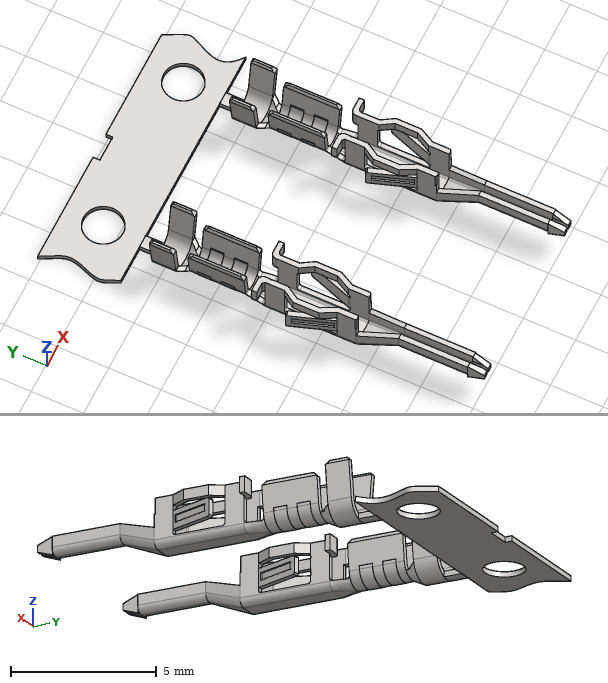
import cadquery as cq
import math


stock = 0.2
pitch = 6.35
terminal_count = 2

trim_half_width = 1.3

strip_half_width = 1.5
pilot_diameter = 1.5
strip_left = -2.1
strip_right = 8.19
left_tear = [(-1.66, 0.41), (-1.99, -0.74), (-1.72, -strip_half_width)]
left_tear_tangents = [(0.5, -1), (0.45, -1)]
right_tear = [(7.67, -0.74), (8.09, 0.41), (7.73, strip_half_width)]
right_tear_tangents = [(-1, 0.7), (-0.5, 1)]
notch_left = 2.3
notch_width = 1.02
notch_depth = 0.26

tab_half_width = 0.245
tab_radius = 1.0
tab_blank_top = 1.2

insulation_start = 2.22
insulation_end = 3.14
insulation_radius = 0.77
insulation_flare = 8.0
insulation_top = 2.1
insulation_bevel_height = 0.12
insulation_rear_chamfer = 0.08
insulation_front_chamfer = 0.16

floor_z = 0.22
wire_start = 3.58
wire_end = 5.73
wire_radius = 0.6
wire_flare = 7.0
wire_top = 1.87
wire_bevel_height = 0.14
wire_corner_chamfer = 0.16
wing_tip_bevel = 0.065
serration_starts = (3.9, 4.81)
serration_length = 0.51
serration_depth = 0.035
serration_bulge = 0.01
serration_top = 0.865

neck_blank_top = 0.95
rear_neck_side_z = 0.57
rear_neck_low_z = 0.44
rear_neck_slope_length = 0.25
front_neck_z = 0.51
neck_fillet = 0.12
front_neck_flat = 0.02

box_start = 6.48
box_end = 9.97
box_half_width = 0.61
box_corner = 0.28
box_top = 2.04
box_front_bevel = 0.05
window_start = 7.22
window_end = 9.24
window_bottom = 0.557
window_top = 1.65
window_fillet = 0.1

flange_start = 6.2
flange_half_span = 1.09
flange_bottom = 1.45
flange_fillet = 0.2
flange_gusset = 0.08

bow_half_width = 0.905
bow_flat_start = 7.7
bow_flat_end = 8.68

tang_angle = 19.0
tang_length = 1.8
tang_bottom = 0.76
tang_top = 1.46
tang_groove_start = 0.1
tang_tip_chamfer = 0.06
tang_groove_end = 1.59
tang_groove_bottom = 1.0
tang_groove_top = 1.27
tang_groove_depth = 0.06

ramp_side_z = 0.97
pin_start = 11.45
pin_end = 14.09
tip_end = 14.7
pin_bottom = 0.785
pin_top = 1.463
pin_half_width = 0.33
pin_corner = 0.27
prong_half_span = 0.31
tip_half_span = 0.26
tip_height = 0.24
prong_gap = 0.1
prong_mouth_half = 0.12
prong_mouth_depth = 0.16


def section_plane(station):
    """Plane across the terminal: local x is X, local y is Z, extrusion runs toward the pin tip."""
    return cq.Workplane("XZ").workplane(offset=station)


def station_block(half_width, start, end, z_low, z_high):
    return (section_plane(start).center(0, (z_low + z_high) / 2)
            .rect(2 * half_width, z_high - z_low).extrude(end - start))


def side_prism(points, half_width):
    """Prism across the terminal from (station, z) points."""
    yz_points = [(-station, z) for station, z in points]
    return cq.Workplane("YZ").polyline(yz_points).close().extrude(half_width, both=True)


def plan_prism(points, z_low, z_high):
    """Vertical prism from (x, station) points."""
    xy_points = [(x, -station) for x, station in points]
    return cq.Workplane("XY").workplane(offset=z_low).polyline(xy_points).close().extrude(z_high - z_low)


def both_sides(body):
    return body.union(body.mirror("YZ"))


def barrel(start, end, radius, thickness, flare, bottom, top, bevel=0.0, bevel_height=0.0):
    """Open U with a round floor and straight wings flared outward, tangent to the floor arc."""
    angle = math.radians(flare)
    centre_z = bottom + radius
    wing_length = (top - centre_z + radius * math.sin(angle)) / math.cos(angle)

    def wing_point(depth, along):
        across = radius - depth
        return (across * math.cos(angle) + along * math.sin(angle),
                centre_z - across * math.sin(angle) + along * math.cos(angle))

    outline = [wing_point(0, 0), wing_point(0, wing_length - bevel_height)]
    if bevel > 0:
        outline += [wing_point(bevel, wing_length), wing_point(thickness - bevel, wing_length)]
    outline += [wing_point(thickness, wing_length - bevel_height), wing_point(thickness, 0)]
    mirrored = [(-x, z) for x, z in reversed(outline)]

    profile = section_plane(start).polyline(outline)
    profile = profile.threePointArc((0, bottom + thickness), mirrored[0])
    for point in mirrored[1:]:
        profile = profile.lineTo(*point)
    return profile.threePointArc((0, bottom), outline[0]).close().extrude(end - start)


def channel_outline(plane, half_width, corner, bottom, top):
    """Closed outline of a flat-floored channel with rounded lower corners."""
    inner_half = half_width - stock
    inner_corner = corner - stock
    flat = half_width - corner
    centre_z = bottom + corner
    diagonal = math.sqrt(0.5)
    outer_mid = (flat + corner * diagonal, centre_z - corner * diagonal)
    inner_mid = (flat + inner_corner * diagonal, centre_z - inner_corner * diagonal)
    outline = (plane.moveTo(-half_width, top)
               .lineTo(-half_width, centre_z)
               .threePointArc((-outer_mid[0], outer_mid[1]), (-flat, bottom)))
    if flat > 0:
        outline = outline.lineTo(flat, bottom)
    outline = (outline.threePointArc(outer_mid, (half_width, centre_z))
               .lineTo(half_width, top)
               .lineTo(inner_half, top)
               .lineTo(inner_half, centre_z)
               .threePointArc(inner_mid, (flat, bottom + stock)))
    if flat > 0:
        outline = outline.lineTo(-flat, bottom + stock)
    return (outline.threePointArc((-inner_mid[0], inner_mid[1]), (-inner_half, centre_z))
            .lineTo(-inner_half, top)
            .close())


def channel(start, end, section):
    return channel_outline(section_plane(start), *section).extrude(end - start)


def channel_loft(start, end, start_section, end_section):
    first = channel_outline(section_plane(start), *start_section)
    second = channel_outline(first.workplane(offset=end - start), *end_section)
    return second.loft(ruled=True)


def clip_wing_corners(body, start, end, top, rear_chamfer, front_chamfer):
    envelope = side_prism([
        (start, 0), (start, top - rear_chamfer), (start + rear_chamfer, top),
        (end - front_chamfer, top), (end, top - front_chamfer), (end, 0),
    ], trim_half_width)
    return body.intersect(envelope)


def make_strip():
    notch_right = notch_left + notch_width
    strip = (cq.Workplane("XY").moveTo(strip_left, strip_half_width)
             .spline(left_tear, tangents=left_tear_tangents, includeCurrent=True)
             .lineTo(strip_right, -strip_half_width)
             .spline(right_tear, tangents=right_tear_tangents, includeCurrent=True)
             .lineTo(notch_right, strip_half_width)
             .lineTo(notch_right, strip_half_width - notch_depth)
             .lineTo(notch_left, strip_half_width - notch_depth)
             .lineTo(notch_left, strip_half_width)
             .close().extrude(stock))
    pilots = [(index * pitch, 0) for index in range(terminal_count)]
    holes = cq.Workplane("XY").pushPoints(pilots).circle(pilot_diameter / 2).extrude(stock)
    return strip.cut(holes)


def make_tab():
    curved = barrel(strip_half_width, insulation_start, tab_radius, stock, 0, 0, tab_blank_top)
    return curved.intersect(station_block(tab_half_width, strip_half_width, insulation_start,
                                          0, tab_blank_top))


def make_insulation_barrel():
    body = barrel(insulation_start, insulation_end, insulation_radius, stock, insulation_flare,
                  0, insulation_top, wing_tip_bevel, insulation_bevel_height)
    return clip_wing_corners(body, insulation_start, insulation_end, insulation_top,
                             insulation_rear_chamfer, insulation_front_chamfer)


def make_wire_barrel():
    body = barrel(wire_start, wire_end, wire_radius, stock, wire_flare,
                  floor_z, wire_top, wing_tip_bevel, wire_bevel_height)
    body = clip_wing_corners(body, wire_start, wire_end, wire_top,
                             wire_corner_chamfer, wire_corner_chamfer)
    groove_radius = wire_radius - stock + serration_depth
    bulge_radius = wire_radius + serration_bulge
    for start in serration_starts:
        end = start + serration_length
        band = station_block(trim_half_width, start, end, 0, serration_top)
        pressed = barrel(start, end, bulge_radius, bulge_radius - groove_radius, wire_flare,
                         floor_z - serration_bulge, wire_top)
        body = body.cut(band).union(pressed.intersect(band))
    return body


def make_rear_neck():
    neck = channel_loft(insulation_end, wire_start,
                        (insulation_radius, insulation_radius, 0, neck_blank_top),
                        (wire_radius, wire_radius, floor_z, neck_blank_top))
    envelope = side_prism([
        (insulation_end, 0), (insulation_end, rear_neck_side_z),
        (insulation_end + rear_neck_slope_length, rear_neck_low_z),
        (wire_start, rear_neck_low_z), (wire_start, 0),
    ], trim_half_width)
    return neck.intersect(envelope)


def make_front_neck():
    neck = channel_loft(wire_end, box_start,
                        (wire_radius, wire_radius - front_neck_flat, floor_z, neck_blank_top),
                        (box_half_width, box_corner, floor_z, neck_blank_top))
    relief = (station_block(trim_half_width, wire_end, box_start, front_neck_z, box_top)
              .edges("|X and <Z").fillet(neck_fillet))
    return neck.cut(relief)


def make_box():
    box = channel(box_start, box_end, (box_half_width, box_corner, floor_z, box_top))
    windows = (station_block(trim_half_width, window_start, window_end, window_bottom, window_top)
               .edges("|X").fillet(window_fillet))
    bar_gaps = station_block(trim_half_width, window_start, window_end, window_top, box_top)
    front_bevel = plan_prism([
        (box_half_width - box_front_bevel, box_end), (box_half_width, box_end - box_front_bevel),
        (box_half_width, box_end),
    ], flange_bottom, box_top)
    return box.cut(windows).cut(bar_gaps).cut(both_sides(front_bevel))


def make_flanges():
    inner = box_half_width - stock
    flange = plan_prism([
        (inner, flange_start), (flange_half_span, flange_start),
        (flange_half_span, flange_start + stock),
        (box_half_width + flange_gusset, flange_start + stock),
        (box_half_width, box_start), (inner, box_start),
    ], flange_bottom, box_top)
    return both_sides(flange.edges("|Z and <X and >Y").fillet(flange_fillet))


def make_bowed_bars():
    inner = box_half_width - stock
    slope = math.atan2(bow_half_width - box_half_width, bow_flat_start - window_start)
    knee_shift = stock * math.tan(slope / 2)
    bar = plan_prism([
        (box_half_width, window_start),
        (bow_half_width, bow_flat_start),
        (bow_half_width, bow_flat_end),
        (box_half_width, window_end),
        (inner, window_end),
        (inner, window_end - knee_shift),
        (bow_half_width - stock, bow_flat_end - knee_shift),
        (bow_half_width - stock, bow_flat_start + knee_shift),
        (inner, window_start + knee_shift),
        (inner, window_start),
    ], window_top, box_top)
    return both_sides(bar)


def make_tangs():
    angle = math.radians(tang_angle)

    def tang_point(along, depth):
        return (box_half_width + along * math.sin(angle) - depth * math.cos(angle),
                window_end - along * math.cos(angle) - depth * math.sin(angle))

    tang = plan_prism([
        tang_point(0, 0), tang_point(tang_length, 0), tang_point(tang_length, stock),
        tang_point(0, stock), (box_half_width - stock, window_end),
    ], tang_bottom, tang_top)
    tang = tang.faces(">Y").edges("not |Z").chamfer(tang_tip_chamfer)
    groove = plan_prism([
        tang_point(tang_groove_start, 0), tang_point(tang_groove_end, 0),
        tang_point(tang_groove_end, tang_groove_depth), tang_point(tang_groove_start, tang_groove_depth),
    ], tang_groove_bottom, tang_groove_top)
    return both_sides(tang.cut(groove))


def make_pin():
    pin_section = (pin_half_width, pin_corner, pin_bottom, pin_top)
    ramp = channel_loft(box_end, pin_start,
                        (box_half_width, box_corner, floor_z, ramp_side_z), pin_section)
    shank = channel(pin_start, pin_end, pin_section)
    tip = (section_plane(pin_end).center(0, (pin_bottom + pin_top) / 2)
           .rect(2 * prong_half_span, pin_top - pin_bottom)
           .workplane(offset=tip_end - pin_end)
           .rect(2 * tip_half_span, tip_height)
           .loft(ruled=True))
    right_gap_edge = [
        (prong_mouth_half, pin_bottom), (prong_gap / 2, pin_bottom + prong_mouth_depth),
        (prong_gap / 2, pin_top - prong_mouth_depth), (prong_mouth_half, pin_top),
    ]
    left_gap_edge = [(-x, z) for x, z in reversed(right_gap_edge)]
    gap = (section_plane(pin_end).polyline(right_gap_edge + left_gap_edge).close()
           .extrude(tip_end - pin_end))
    return ramp.union(shank).union(tip.cut(gap))


def make_terminal():
    terminal = make_tab()
    for section in (make_insulation_barrel(), make_rear_neck(), make_wire_barrel(), make_front_neck(),
                    make_box(), make_flanges(), make_bowed_bars(), make_tangs(), make_pin()):
        terminal = terminal.union(section)
    return terminal


result = make_strip()
single_terminal = make_terminal()
for terminal_index in range(terminal_count):
    result = result.union(single_terminal.translate((terminal_index * pitch, 0, 0)))